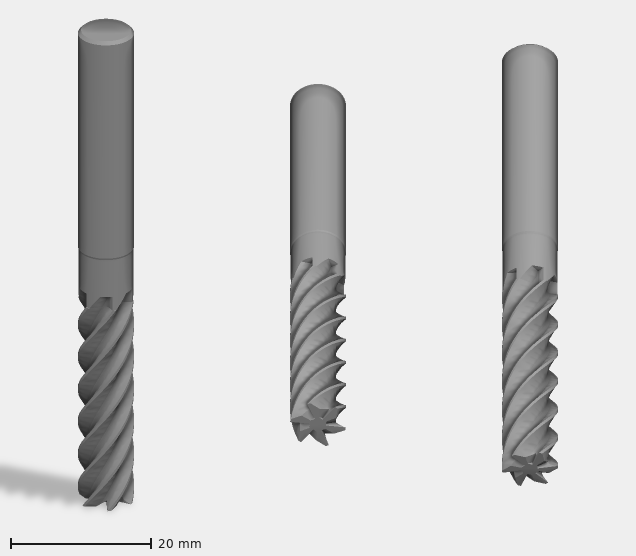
import cadquery as cq
import math

total_length = 75.0
diameter = 8.0
neck_diameter = 7.8
cutting_length = 32.0
neck_top = 40.4
shank_chamfer = 0.45
neck_cone_length = 0.3

flute_count = 6
helix_lead = 31.05
margin_angle = 7.0
back_foot_radius = 2.6
back_foot_angle = 36.0
gullet_radius = 2.55
gullet_angle = 45.0
rake_foot_radius = 2.85
rake_foot_angle = 54.0
flute_outer_radius = 4.8
runout_length = 2.2

gash_depth = 1.7
gash_width = 2.85
gash_inner_radius = 1.1
gash_outer_radius = 4.5
gash_overrun = 0.4

radius = diameter / 2
tooth_pitch = 360.0 / flute_count


def polar(r, angle):
    """Point at a radius and an angle in degrees about the tool axis."""
    return (r * math.cos(math.radians(angle)), r * math.sin(math.radians(angle)))


def twist(length):
    """Right-hand rotation of the flutes over a length, in degrees."""
    return 360.0 * length / helix_lead


def cutter_section():
    """Cross-section of all teeth: margin, back, gullet and rake face, repeated around the axis."""
    section = cq.Workplane("XY").moveTo(*polar(radius, 0))
    for tooth in range(flute_count):
        edge = tooth * tooth_pitch
        section = (
            section
            .threePointArc(polar(radius, edge + margin_angle / 2), polar(radius, edge + margin_angle))
            .lineTo(*polar(back_foot_radius, edge + back_foot_angle))
            .threePointArc(
                polar(gullet_radius, edge + gullet_angle),
                polar(rake_foot_radius, edge + rake_foot_angle),
            )
            .lineTo(*polar(radius, edge + tooth_pitch))
        )
    return section.close()


def gash_outline(plane, scale):
    """Outline of a gash at some distance out, with its foot carried below the end of the tool."""
    return plane.polyline([
        (0, -gash_overrun),
        (0, gash_depth * scale),
        (-gash_width * scale, 0),
        (-gash_width * scale, -gash_overrun),
    ]).close()


def end_gash(edge_angle):
    """Wedge in front of one rake face, growing in proportion to the distance from the axis."""
    inner_plane = cq.Workplane("YZ", origin=(gash_inner_radius, 0, 0))
    inner = gash_outline(inner_plane, gash_inner_radius / gash_outer_radius)
    outer_plane = inner.workplane(offset=gash_outer_radius - gash_inner_radius)
    wedge = gash_outline(outer_plane, 1.0).loft(ruled=True)
    return wedge.rotate((0, 0, 0), (0, 0, 1), edge_angle)


def make_cutter():
    """Fluted cutting part."""
    cutter = cutter_section().twistExtrude(cutting_length, twist(cutting_length))
    gashes = [end_gash(tooth * tooth_pitch).val() for tooth in range(flute_count)]
    return cutter.cut(cq.Compound.makeCompound(gashes))


def flute_section():
    """Cross-section of the space in front of the rake face at tooth_pitch, open past the outside."""
    return (
        cq.Workplane("XY")
        .moveTo(*polar(flute_outer_radius, margin_angle))
        .lineTo(*polar(radius, margin_angle))
        .lineTo(*polar(back_foot_radius, back_foot_angle))
        .threePointArc(
            polar(gullet_radius, gullet_angle),
            polar(rake_foot_radius, rake_foot_angle),
        )
        .lineTo(*polar(radius, tooth_pitch))
        .lineTo(*polar(flute_outer_radius, tooth_pitch))
        .threePointArc(
            polar(flute_outer_radius, (margin_angle + tooth_pitch) / 2),
            polar(flute_outer_radius, margin_angle),
        )
        .close()
    )


def flute_runout():
    """Part of one flute that goes on twisting while its rake side rises straight up."""
    twisted = flute_section().twistExtrude(runout_length, twist(runout_length))
    straight = flute_section().extrude(runout_length)
    return twisted.intersect(straight)


def make_shank():
    """Shank with its chamfered top, the neck below it and the flute runouts in the neck."""
    neck_radius = neck_diameter / 2
    shank = (
        cq.Workplane("XZ")
        .polyline([
            (0, cutting_length),
            (neck_radius, cutting_length),
            (neck_radius, neck_top - neck_cone_length),
            (radius, neck_top),
            (radius, total_length - shank_chamfer),
            (radius - shank_chamfer, total_length),
            (0, total_length),
        ])
        .close()
        .revolve(360, (0, 0, 0), (0, 1, 0))
    )
    runout = flute_runout().translate((0, 0, cutting_length))
    for tooth in range(flute_count):
        angle = twist(cutting_length) + tooth * tooth_pitch
        shank = shank.cut(runout.rotate((0, 0, 0), (0, 0, 1), angle))
    return shank


cutter = make_cutter()
shank = make_shank()
result = cq.Compound.makeCompound([cutter.val(), shank.val()])